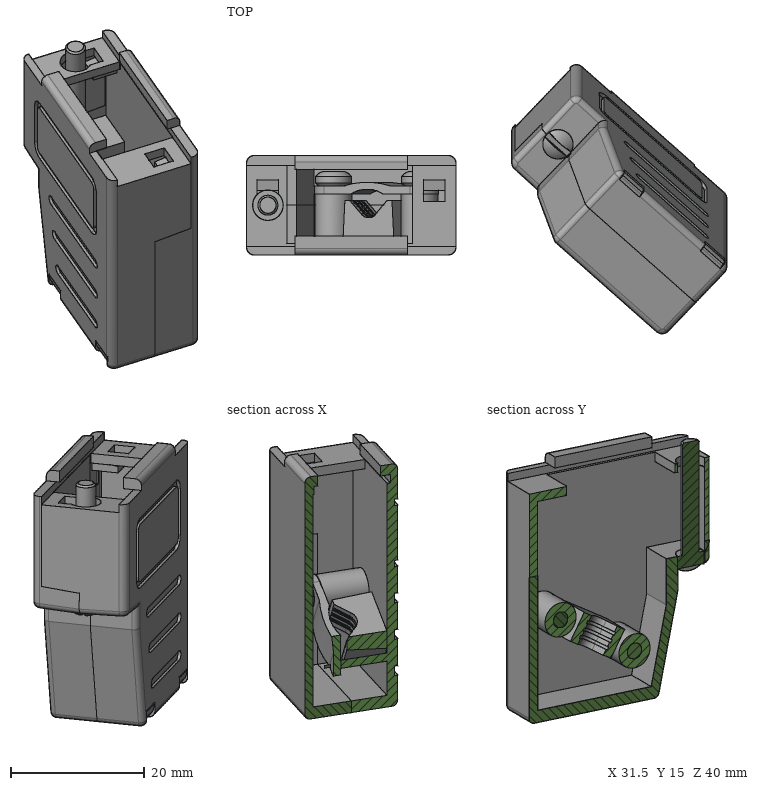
import cadquery as cq
import math

LENGTH = 31.5
THICKNESS = 15.0
HEIGHT = 40.0
RIM_Z = 38.25
OUTER_Y = THICKNESS / 2
CORNER_RADIUS = 1.25
EDGE_RADIUS = 0.95

NECK_X = 5.5
NECK_BOTTOM_Z = 16.6
FOOT_X = 8.95
EAR_BOTTOM_Z = 20.4
EAR_SLOPE = 4.5
EAR_CROWN = 0.3

LIP_START_X = 7.3
LIP_END_X = 24.25
LIP_RADIUS = 1.0
FRONT_LIP_WIDTH = 2.85
REAR_LIP_WIDTH = 2.1

EAR_Z = 36.95
EAR_PLATE_THICKNESS = 1.5
EAR_FRONT_Y = -6.25
EAR_REAR_Y = 5.95
MOUTH_START_X = 6.1
MOUTH_END_X = 24.95
CAVITY_FRONT_Y = -5.7
CAVITY_REAR_Y = 6.1
CAVITY_START_X = 0.9
CAVITY_END_X = 30.0
CAVITY_NECK_X = 7.55
CAVITY_FOOT_X = 10.2
FLOOR_Z = 2.0
EAR_FLOOR_Z = 22.0
CAVITY_TOP_Z = EAR_Z - EAR_PLATE_THICKNESS
SIDE_SLOPE = (FOOT_X - NECK_X) / NECK_BOTTOM_Z
CAVITY_NECK_BOTTOM_Z = FLOOR_Z + (CAVITY_FOOT_X - CAVITY_NECK_X) / SIDE_SLOPE

NUT_WINDOW = 3.25
NUT_WINDOW_Y = 2.2
NUT_WINDOW_X = (3.25, 28.2)

LEDGE_FRONT_Y = 2.25
LEDGE_FRONT_Z = 34.7
LEDGE_REAR_Z = 35.4
LEDGE_THICKNESS = 1.0

RECESS_START_X = MOUTH_END_X
RECESS_END_X = 29.2
RECESS_BOTTOM_Z = 30.8
RECESS_DEPTH = 0.25
LEDGE_REAR_Y = CAVITY_REAR_Y + RECESS_DEPTH

PARTING_Z_MIDDLE = 23.5
PARTING_Z_REAR = 24.0

GROOVE_DEPTH = 0.5
LABEL_X = 15.75
LABEL_Z = 28.5
LABEL_LENGTH = 21.95
LABEL_HEIGHT = 11.05
LABEL_RADIUS = 1.85
LABEL_GROOVE_WIDTH = 0.95
GRIP_DEPTH = 0.5
GRIP_COUNT = 3
GRIP_END_X = 27.05
GRIP_FIRST_START_X = 9.9
GRIP_START_STEP = 1.2
GRIP_FIRST_Z = 17.8
GRIP_PITCH = 6.0
GRIP_HEIGHT = 1.5

NOTCH_STARTS_X = (9.9, 26.4)
NOTCH_WIDTH = 4.1
NOTCH_HEIGHT = 2.4
NOTCH_TOP_DEPTH = 0.5
NOTCH_CREST_DEPTH = 0.15
NOTCH_CREST_Z = 2.1
NOTCH_BULGE_DEPTH = 0.2
NOTCH_BULGE_Z = 1.4
NOTCH_STEP_START = (0.45, 0.8)
NOTCH_STEP_END = (0.7, 0.55)
NOTCH_BOTTOM_DEPTH = 1.1

JACK_X = 3.25
JACK_DIAMETER = 3.0
JACK_CHAMFER = 0.3
JACK_HEAD_DIAMETER = 4.55
JACK_HOLE_DIAMETER = 4.6
JACK_DOME_BOTTOM_Z = 19.1
JACK_DOME_EDGE_Z = 19.9
JACK_SLOT_WIDTH = 0.9

CLAMP_TILT = 30.0
CLAMP_X = 19.55
CLAMP_Z = 12.0
CLAMP_SPACING = 14.9
BOSS_DIAMETER = 5.5
BOSS_TOP_Y = 1.7
STRAP_THICKNESS = 1.2
STRAP_WIDTH = 5.75
STRAP_ARCH_OUTER_HALF = 4.1
STRAP_ARCH_INNER_HALF = 2.8
STRAP_ARCH_OUTER_RISE = 0.55
STRAP_ARCH_INNER_RISE = 0.7
CLAMP_SCREW_DIAMETER = 2.4
CLAMP_SCREW_TIP_Y = -4.0
CLAMP_HEAD_DIAMETER = 5.35
CLAMP_HEAD_BEVEL = 0.45
CLAMP_HEAD_EDGE_Y = 4.3
CLAMP_DOME_MIDDLE = (2.25, 4.75)
CLAMP_HEAD_TOP_DIAMETER = 3.1
CLAMP_HEAD_TOP_Y = 5.1

SADDLE_TOP_Y = 0.7
SADDLE_TOP_LENGTH = 8.15
SADDLE_FOOT_LENGTH = 8.9
SADDLE_THICKNESS = 4.9
VEE_TOP_WIDTH = 6.5
VEE_BOTTOM_WIDTH = 2.5
VEE_BOTTOM_Y = -1.3
VEE_LOWEST_Y = -1.9
TOOTH_GAP_COUNT = 3
TOOTH_GAP_WIDTH = 0.5
TOOTH_GAP_DEPTH = 0.25

TOLERANCE = 0.005
OVERCUT = 0.8


def box_between(x0, x1, y0, y1, z0, z1):
    return cq.Workplane("XY").box(x1 - x0, y1 - y0, z1 - z0, centered=False).translate((x0, y0, z0))


def prism_along_y(points, y0, y1):
    """Extrude an X-Z outline from y0 to y1."""
    return cq.Workplane("XZ", origin=(0, y0, 0)).polyline(points).close().extrude(y0 - y1)


def cylinder_along_y(x, z, diameter, y0, y1):
    return cq.Workplane("XZ", origin=(x, y0, z)).circle(diameter / 2).extrude(y0 - y1)


def cylinder_along_z(x, diameter, z0, z1):
    return cq.Workplane("XY", origin=(x, 0, z0)).circle(diameter / 2).extrude(z1 - z0)


def ear_undercut():
    """The space under the left ear: its roof slopes to the neck and is lowest at mid thickness."""
    side_y = OUTER_Y + OVERCUT
    side_rise = EAR_CROWN * OVERCUT / OUTER_Y
    drop = EAR_BOTTOM_Z - NECK_BOTTOM_Z
    roof = [
        (-side_y, side_rise),
        (0, -EAR_CROWN),
        (side_y, side_rise),
        (side_y, -2 * drop),
        (-side_y, -2 * drop),
    ]
    wedge = cq.Workplane("YZ", origin=(-NECK_X, 0, 0)).polyline(roof).close().extrude(3 * NECK_X)
    wedge = wedge.rotate((0, 0, 0), (0, 1, 0), EAR_SLOPE).translate((0, 0, EAR_BOTTOM_Z))
    room = prism_along_y(
        [(-OVERCUT, 0), (FOOT_X, 0), (NECK_X, NECK_BOTTOM_Z), (NECK_X, RIM_Z), (-OVERCUT, RIM_Z)],
        -side_y,
        side_y,
    )
    return wedge.intersect(room)


def outer_block():
    outline = [
        (0, RIM_Z),
        (0, NECK_BOTTOM_Z),
        (NECK_X, NECK_BOTTOM_Z),
        (FOOT_X, 0),
        (LENGTH, 0),
        (LENGTH, RIM_Z),
    ]
    block = prism_along_y(outline, -OUTER_Y, OUTER_Y).cut(ear_undercut())
    block = block.edges("|Z and (<X or >X)").fillet(CORNER_RADIUS)
    edges = []
    for edge in block.edges().vals():
        box = edge.BoundingBox()
        off_middle = abs(edge.Center().y)
        on_rim = box.zmax > RIM_Z - TOLERANCE
        on_neck = abs(box.xmin - NECK_X) < TOLERANCE and abs(box.xmax - NECK_X) < TOLERANCE
        neck_corner = on_neck and off_middle < OUTER_Y - TOLERANCE
        crown_ridge = off_middle < TOLERANCE and box.ylen < TOLERANCE
        if not (on_rim or neck_corner or crown_ridge):
            edges.append(edge)
    return block.newObject(edges).fillet(EDGE_RADIUS)


def lip(y0, y1, outer_side):
    bar = box_between(LIP_START_X, LIP_END_X, y0, y1, RIM_Z, HEIGHT)
    return bar.edges(f"|X and >Z and {outer_side}Y").fillet(LIP_RADIUS)


def cavity():
    outline = [
        (CAVITY_START_X, CAVITY_TOP_Z),
        (CAVITY_START_X, EAR_FLOOR_Z),
        (CAVITY_NECK_X, EAR_FLOOR_Z),
        (CAVITY_NECK_X, CAVITY_NECK_BOTTOM_Z),
        (CAVITY_FOOT_X, FLOOR_Z),
        (CAVITY_END_X, FLOOR_Z),
        (CAVITY_END_X, CAVITY_TOP_Z),
    ]
    room = prism_along_y(outline, CAVITY_FRONT_Y, CAVITY_REAR_Y)
    mouth = box_between(
        MOUTH_START_X, MOUTH_END_X, CAVITY_FRONT_Y, CAVITY_REAR_Y, CAVITY_TOP_Z, EAR_Z
    )
    return room.union(mouth)


def ear_openings():
    """Recess above the ear plates, nut windows and the jack screw's bore."""
    cuts = box_between(-OVERCUT, LENGTH + OVERCUT, EAR_FRONT_Y, EAR_REAR_Y, EAR_Z, RIM_Z)
    for x in NUT_WINDOW_X:
        window = cq.Workplane("XY", origin=(x, NUT_WINDOW_Y, CAVITY_TOP_Z))
        cuts = cuts.union(window.rect(NUT_WINDOW, NUT_WINDOW).extrude(EAR_PLATE_THICKNESS))
    cuts = cuts.union(cylinder_along_z(JACK_X, JACK_HOLE_DIAMETER, CAVITY_TOP_Z, EAR_Z))
    head_bore = cylinder_along_z(JACK_X, JACK_HEAD_DIAMETER, JACK_DOME_BOTTOM_Z, EAR_FLOOR_Z)
    return cuts.union(head_bore)


def housing_block():
    block = outer_block()
    block = block.union(lip(-OUTER_Y, -OUTER_Y + FRONT_LIP_WIDTH, "<"))
    block = block.union(lip(OUTER_Y - REAR_LIP_WIDTH, OUTER_Y, ">"))
    return block.cut(cavity()).cut(ear_openings())


def front_shell_space():
    """Everything in front of the parting: mid thickness, stepping back above the left ear's foot."""
    parting = [
        (-OUTER_Y - OVERCUT, -OVERCUT),
        (0, -OVERCUT),
        (0, PARTING_Z_MIDDLE),
        (EAR_REAR_Y, PARTING_Z_REAR),
        (EAR_REAR_Y, EAR_Z),
        (0, EAR_Z),
        (0, HEIGHT + OVERCUT),
        (-OUTER_Y - OVERCUT, HEIGHT + OVERCUT),
    ]
    start = cq.Workplane("YZ", origin=(-OVERCUT, 0, 0))
    return start.polyline(parting).close().extrude(LENGTH + 2 * OVERCUT)


def front_pad(x, z, length, height, radius, depth):
    """A rounded rectangle sunk into the front face."""
    pad = cq.Workplane("XZ", origin=(x, -OUTER_Y, z)).rect(length, height).extrude(-depth)
    return pad.edges("|Y").fillet(radius)


def label_groove():
    outer = front_pad(LABEL_X, LABEL_Z, LABEL_LENGTH, LABEL_HEIGHT, LABEL_RADIUS, GROOVE_DEPTH)
    island = front_pad(
        LABEL_X,
        LABEL_Z,
        LABEL_LENGTH - 2 * LABEL_GROOVE_WIDTH,
        LABEL_HEIGHT - 2 * LABEL_GROOVE_WIDTH,
        LABEL_RADIUS - LABEL_GROOVE_WIDTH,
        GROOVE_DEPTH,
    )
    return outer.cut(island)


def grip_slot(index):
    start_x = GRIP_FIRST_START_X + index * GRIP_START_STEP
    length = GRIP_END_X - start_x
    slot = cq.Workplane("XZ", origin=(start_x + length / 2, -OUTER_Y, GRIP_FIRST_Z - index * GRIP_PITCH))
    return slot.slot2D(length, GRIP_HEIGHT).extrude(-GRIP_DEPTH)


def snap_notch(start_x):
    """Notch whose back face bulges forward to a crest and then falls away to the bottom."""
    front = -OUTER_Y
    step_depth, step_z = NOTCH_STEP_START
    profile = (
        cq.Workplane("YZ", origin=(start_x, 0, 0))
        .moveTo(front - OVERCUT, NOTCH_HEIGHT)
        .lineTo(front + NOTCH_TOP_DEPTH, NOTCH_HEIGHT)
        .lineTo(front + NOTCH_CREST_DEPTH, NOTCH_CREST_Z)
        .threePointArc((front + NOTCH_BULGE_DEPTH, NOTCH_BULGE_Z), (front + step_depth, step_z))
        .lineTo(front + NOTCH_STEP_END[0], NOTCH_STEP_END[1])
        .lineTo(front + NOTCH_BOTTOM_DEPTH, 0)
        .lineTo(front - OVERCUT, 0)
        .close()
    )
    return profile.extrude(NOTCH_WIDTH)


CLAMP_RUN = CLAMP_SPACING / 2 * math.cos(math.radians(CLAMP_TILT))
CLAMP_RISE = CLAMP_SPACING / 2 * math.sin(math.radians(CLAMP_TILT))
CLAMP_SCREW_PLACES = [
    (CLAMP_X - CLAMP_RUN, CLAMP_Z - CLAMP_RISE),
    (CLAMP_X + CLAMP_RUN, CLAMP_Z + CLAMP_RISE),
]
STRAP_TOP_Y = BOSS_TOP_Y + STRAP_THICKNESS


def tilt_into_place(body):
    """Move a clamp part drawn level at the origin to its tilted place."""
    return body.rotate((0, 0, 0), (0, 1, 0), -CLAMP_TILT).translate((CLAMP_X, 0, CLAMP_Z))


def make_clamp_strap():
    end = CLAMP_SPACING / 2 + STRAP_WIDTH / 2
    strap = (
        cq.Workplane("XY", origin=(0, 0, -STRAP_WIDTH / 2))
        .moveTo(-end, BOSS_TOP_Y)
        .lineTo(-STRAP_ARCH_INNER_HALF, BOSS_TOP_Y)
        .threePointArc((0, BOSS_TOP_Y + STRAP_ARCH_INNER_RISE), (STRAP_ARCH_INNER_HALF, BOSS_TOP_Y))
        .lineTo(end, BOSS_TOP_Y)
        .lineTo(end, STRAP_TOP_Y)
        .lineTo(STRAP_ARCH_OUTER_HALF, STRAP_TOP_Y)
        .threePointArc((0, STRAP_TOP_Y + STRAP_ARCH_OUTER_RISE), (-STRAP_ARCH_OUTER_HALF, STRAP_TOP_Y))
        .lineTo(-end, STRAP_TOP_Y)
        .close()
        .extrude(STRAP_WIDTH)
    )
    rounded_ends = (
        cq.Workplane("XZ", origin=(0, BOSS_TOP_Y, 0))
        .slot2D(CLAMP_SPACING + STRAP_WIDTH, STRAP_WIDTH)
        .extrude(-STRAP_THICKNESS - STRAP_ARCH_OUTER_RISE)
    )
    strap = tilt_into_place(strap.intersect(rounded_ends))
    for x, z in CLAMP_SCREW_PLACES:
        strap = strap.cut(cylinder_along_y(x, z, CLAMP_SCREW_DIAMETER, BOSS_TOP_Y, STRAP_TOP_Y))
    return strap


def make_clamp_screw(x, z):
    """A screw turned about Y, with a bevelled head and a domed top."""
    shank = CLAMP_SCREW_DIAMETER / 2
    head = CLAMP_HEAD_DIAMETER / 2
    return (
        cq.Workplane("XY", origin=(x, 0, z))
        .moveTo(0, CLAMP_SCREW_TIP_Y)
        .lineTo(shank, CLAMP_SCREW_TIP_Y)
        .lineTo(shank, STRAP_TOP_Y)
        .lineTo(head - CLAMP_HEAD_BEVEL, STRAP_TOP_Y)
        .lineTo(head, STRAP_TOP_Y + CLAMP_HEAD_BEVEL)
        .lineTo(head, CLAMP_HEAD_EDGE_Y)
        .threePointArc(CLAMP_DOME_MIDDLE, (CLAMP_HEAD_TOP_DIAMETER / 2, CLAMP_HEAD_TOP_Y))
        .lineTo(0, CLAMP_HEAD_TOP_Y)
        .close()
        .revolve(360, (0, 0, 0), (0, 1, 0))
    )


def vee(thickness):
    """The V-shaped cable groove, open at the top."""
    top = VEE_TOP_WIDTH / 2
    bottom = VEE_BOTTOM_WIDTH / 2
    return (
        cq.Workplane("XY", origin=(0, 0, -thickness / 2))
        .moveTo(-top, SADDLE_TOP_Y + OVERCUT)
        .lineTo(-top, SADDLE_TOP_Y)
        .lineTo(-bottom, VEE_BOTTOM_Y)
        .threePointArc((0, VEE_LOWEST_Y), (bottom, VEE_BOTTOM_Y))
        .lineTo(top, SADDLE_TOP_Y)
        .lineTo(top, SADDLE_TOP_Y + OVERCUT)
        .close()
        .extrude(thickness)
    )


def make_saddle():
    """A block with a toothed V for the cable, tilted like the strap."""
    saddle = (
        cq.Workplane("XY", origin=(0, 0, -SADDLE_THICKNESS / 2))
        .moveTo(-SADDLE_FOOT_LENGTH / 2, CAVITY_FRONT_Y)
        .lineTo(SADDLE_FOOT_LENGTH / 2, CAVITY_FRONT_Y)
        .lineTo(SADDLE_TOP_LENGTH / 2, SADDLE_TOP_Y)
        .lineTo(-SADDLE_TOP_LENGTH / 2, SADDLE_TOP_Y)
        .close()
        .extrude(SADDLE_THICKNESS)
    )
    saddle = saddle.cut(vee(SADDLE_THICKNESS))
    pitch = SADDLE_THICKNESS / (TOOTH_GAP_COUNT + 1)
    gap = vee(TOOTH_GAP_WIDTH).translate((0, -TOOTH_GAP_DEPTH, 0))
    for index in range(TOOTH_GAP_COUNT):
        saddle = saddle.cut(gap.translate((0, 0, (index + 1) * pitch - SADDLE_THICKNESS / 2)))
    return tilt_into_place(saddle)


def make_front_shell(block):
    shell = block.intersect(front_shell_space()).cut(label_groove())
    for index in range(GRIP_COUNT):
        shell = shell.cut(grip_slot(index))
    for start_x in NOTCH_STARTS_X:
        shell = shell.cut(snap_notch(start_x))
    for x, z in CLAMP_SCREW_PLACES:
        shell = shell.union(cylinder_along_y(x, z, BOSS_DIAMETER, CAVITY_FRONT_Y, BOSS_TOP_Y))
        shell = shell.cut(cylinder_along_y(x, z, CLAMP_SCREW_DIAMETER, CLAMP_SCREW_TIP_Y, BOSS_TOP_Y))
    return shell


def nut_ledge(window_x):
    """A shelf from the rear wall, as wide as the nut window above it, with a sloping top."""
    profile = [
        (LEDGE_FRONT_Y, LEDGE_FRONT_Z),
        (LEDGE_REAR_Y, LEDGE_REAR_Z),
        (LEDGE_REAR_Y, LEDGE_FRONT_Z - LEDGE_THICKNESS),
        (LEDGE_FRONT_Y, LEDGE_FRONT_Z - LEDGE_THICKNESS),
    ]
    start = cq.Workplane("YZ", origin=(window_x - NUT_WINDOW / 2, 0, 0))
    return start.polyline(profile).close().extrude(NUT_WINDOW)


def rear_wall_recess():
    return box_between(
        RECESS_START_X,
        RECESS_END_X,
        CAVITY_REAR_Y,
        CAVITY_REAR_Y + RECESS_DEPTH,
        RECESS_BOTTOM_Z,
        CAVITY_TOP_Z,
    )


def make_rear_shell(block):
    shell = block.cut(front_shell_space()).cut(rear_wall_recess())
    for x in NUT_WINDOW_X:
        shell = shell.union(nut_ledge(x))
    return shell


def make_jack_screw():
    """A long screw along Z with a slotted, domed head at its lower end."""
    shank = JACK_DIAMETER / 2
    head = JACK_HEAD_DIAMETER / 2
    dome_height = JACK_DOME_EDGE_Z - JACK_DOME_BOTTOM_Z
    dome_radius = (head**2 + dome_height**2) / (2 * dome_height)
    half_x = head / 2
    half_z = JACK_DOME_BOTTOM_Z + dome_radius - math.sqrt(dome_radius**2 - half_x**2)
    screw = (
        cq.Workplane("XZ")
        .moveTo(0, JACK_DOME_BOTTOM_Z)
        .threePointArc((half_x, half_z), (head, JACK_DOME_EDGE_Z))
        .lineTo(head, EAR_FLOOR_Z)
        .lineTo(shank, EAR_FLOOR_Z)
        .lineTo(shank, HEIGHT - JACK_CHAMFER)
        .lineTo(shank - JACK_CHAMFER, HEIGHT)
        .lineTo(0, HEIGHT)
        .close()
        .revolve(360, (0, 0, 0), (0, 1, 0))
        .translate((JACK_X, 0, 0))
    )
    half_slot = JACK_SLOT_WIDTH / 2
    slot = box_between(
        JACK_X - head, JACK_X + head, -half_slot, half_slot, JACK_DOME_BOTTOM_Z, JACK_DOME_EDGE_Z
    )
    return screw.cut(slot)


housing = housing_block()
front_shell = make_front_shell(housing)
rear_shell = make_rear_shell(housing)
jack_screw = make_jack_screw()
clamp_strap = make_clamp_strap()
clamp_screws = [make_clamp_screw(x, z) for x, z in CLAMP_SCREW_PLACES]
saddle = make_saddle()

result = cq.Compound.makeCompound(
    [
        front_shell.val(),
        rear_shell.val(),
        jack_screw.val(),
        clamp_strap.val(),
        *[screw.val() for screw in clamp_screws],
        saddle.val(),
    ]
)